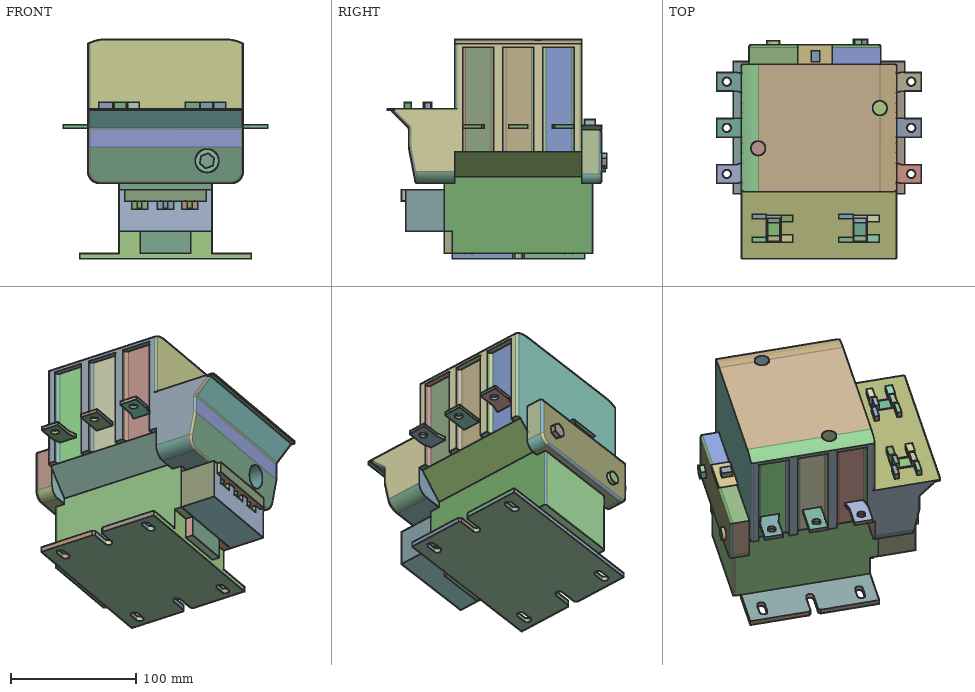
import cadquery as cq
import math


overall_width = 163.3

plate_half_width = 68.5
plate_rear = 70.0
plate_front = -35.7
plate_top = 4.4
plate_middle = (plate_rear + plate_front) / 2
slot_width = 6.3
slot_length = 14.0
slot_x = 56.0
slot_pitch = 80.2
open_slot_inner_x = 51.8
open_slot_chamfer = 1.5

coil_half_width = 37.1
coil_rear = 76.5
coil_front = -42.2
coil_step_height = 21.9
coil_foot_half_width = 20.1
coil_edge_radius = 1.4

housing_half_width = 62.0
housing_rear = 67.7
housing_front = -33.8
housing_top = 175.0
crown_half_width = 48.5
shoulder_height = 171.5
slant_bottom = 65.5
slant_top = 85.2
edge_radius = 1.8

well_diameter = 11.5
well_depth = 17.5
well_places = [(-crown_half_width, 0.7), (crown_half_width, 32.7)]

panel_width = 24.8
panel_depth = 4.2
panel_fillet = 2.3
panel_pitch = 32.0
panel_top = 168.5
panel_middle = 17.0
panel_floor_x = housing_half_width - panel_depth

blade_width = 15.0
blade_pitch = 36.8
blade_bottom = 104.1
blade_thickness = 3.0
blade_hole_diameter = 6.5
blade_hole_x = 73.5
blade_bend_x = 65.5
blade_root_shift = 2.3

shelf_top = 119.7
shelf_thickness = 1.4
shelf_front = -87.5
apron_face_y = -70.5
apron_face_top = 104.5
apron_knee_radius = 2.1
apron_face_bottom = 89.2
apron_bottom = 60.2
apron_bottom_y = -65.0
apron_corner_radius = 9.6

cover_left = -55.8
cover_right = 49.4
cover_rear = 83.3
cover_top = 102.9
cover_corner_radius = 7.9
cover_edge_radius = 2.1
tab_left = -16.8
tab_right = 10.5
tab_height = 3.5
knob_left = -6.1
knob_right = 0.5
knob_front = 69.6
knob_rear = 78.4
knob_top = 111.3

shaft_x = 33.0
shaft_z = 78.2
shaft_radius = 6.1
shaft_turn = 20.0
shaft_sides = 6
shaft_front = -50.8
shaft_rear = 87.5
shaft_well_diameter = 18.7
shaft_well_floor = -49.0
stud_x = -36.5
stud_z = 74.5
stud_diameter = 10.3
stud_rear = 86.5

block_front = -72.8
block_top = 55.3
ledge_half_width = 32.4
ledge_front = -76.3
ledge_bottom = 46.0
window_width = 12.8
window_bottom = 39.7
window_back = -64.5
screw_hole_diameter = 7.4
screw_hole_y = -67.7
screw_hole_bottom = 40.2
screw_hole_places = [-20.6, 0.0, 19.2]

contact_width = 9.8
contact_rear = -55.0
contact_front = -73.5
contact_rear_tab = 3.7
contact_front_tab = 4.5
pocket_rear = -52.7
pocket_front = -74.0
pocket_depth = 3.5
lug_top = 124.8
lug_reach_left = 17.0
lug_reach_right = 15.2
left_rear_lug = (-55.6, -52.0)
right_rear_lug = (-57.8, pocket_rear)
left_front_lug = (pocket_front, -70.4)
right_front_lug = (pocket_front, -68.2)
contact_places = [(-36.0, 1.2), (32.7, 0.7)]


def box(x0, x1, y0, y1, z0, z1):
    """Solid block between two opposite corners."""
    return cq.Workplane("XY").box(x1 - x0, y1 - y0, z1 - z0, centered=False).translate((x0, y0, z0))


def wide_box(half_width, y0, y1, z0, z1):
    """Block symmetric about X = 0."""
    return box(-half_width, half_width, y0, y1, z0, z1)


def along_y(profile, front, rear):
    """Extrude a profile drawn on the XZ plane from front to rear."""
    return profile.extrude(front - rear).translate((0, front, 0))


def cylinder_z(x, y, diameter, z0, z1):
    """Vertical cylinder."""
    return cq.Workplane("XY", origin=(x, y, z0)).circle(diameter / 2).extrude(z1 - z0)


def both_sides(left):
    """A left-hand feature together with its mirror image."""
    return left.union(left.mirror("YZ"))


def make_plate():
    plate = wide_box(plate_half_width, plate_front, plate_rear, 0, plate_top)
    closed_slots = (
        cq.Workplane("XY")
        .rarray(2 * slot_x, slot_pitch, 2, 2)
        .slot2D(slot_length, slot_width)
        .extrude(plate_top)
        .translate((0, plate_middle, 0))
    )
    half_slot = slot_width / 2
    mouth = half_slot + open_slot_chamfer
    chamfer_x = -plate_half_width + open_slot_chamfer
    open_slot = (
        cq.Workplane("XY")
        .moveTo(-plate_half_width, -mouth)
        .lineTo(chamfer_x, -half_slot)
        .lineTo(-open_slot_inner_x, -half_slot)
        .threePointArc((-open_slot_inner_x + half_slot, 0), (-open_slot_inner_x, half_slot))
        .lineTo(chamfer_x, half_slot)
        .lineTo(-plate_half_width, mouth)
        .close()
        .extrude(plate_top)
        .translate((0, plate_middle, 0))
    )
    return plate.cut(closed_slots).cut(both_sides(open_slot))


def make_coil_box():
    coil = wide_box(coil_half_width, coil_front, coil_rear, plate_top, slant_bottom)
    coil = coil.edges("|Z and >Y").fillet(coil_edge_radius)
    step = wide_box(coil_half_width, coil_front, plate_front, plate_top, coil_step_height)
    foot = wide_box(coil_foot_half_width, coil_front, plate_front, plate_top, coil_step_height)
    return coil.cut(step).union(foot)


def make_housing():
    shoulder_run = housing_half_width - crown_half_width
    shoulder_drop = housing_top - shoulder_height
    shoulder_radius = (shoulder_run**2 + shoulder_drop**2) / (2 * shoulder_drop)
    half_angle = math.asin(shoulder_run / shoulder_radius) / 2
    shoulder_x = crown_half_width + shoulder_radius * math.sin(half_angle)
    shoulder_z = housing_top - shoulder_radius * (1 - math.cos(half_angle))
    profile = (
        cq.Workplane("XZ")
        .moveTo(-coil_half_width, slant_bottom)
        .lineTo(coil_half_width, slant_bottom)
        .lineTo(panel_floor_x, slant_top)
        .lineTo(housing_half_width, slant_top)
        .lineTo(housing_half_width, shoulder_height)
        .threePointArc((shoulder_x, shoulder_z), (crown_half_width, housing_top))
        .lineTo(-crown_half_width, housing_top)
        .threePointArc((-shoulder_x, shoulder_z), (-housing_half_width, shoulder_height))
        .lineTo(-housing_half_width, slant_top)
        .lineTo(-panel_floor_x, slant_top)
        .close()
    )
    housing = along_y(profile, housing_front, housing_rear).edges("|Z").fillet(edge_radius)
    for x, y in well_places:
        housing = housing.cut(cylinder_z(x, y, well_diameter, housing_top - well_depth, housing_top))
    return housing


def make_panel_recess(y):
    """Left-hand recess with rounded inner corners, open at its lower end."""
    half_width = panel_width / 2
    recess = box(-housing_half_width, -panel_floor_x, y - half_width, y + half_width, slant_top, panel_top)
    return recess.edges("|Z and >X").fillet(panel_fillet)


def make_blade(row):
    """Left-hand blade; the outer rows bend toward the middle row at their roots."""
    y = panel_middle + row * blade_pitch
    half_width = blade_width / 2
    tip_x = -overall_width / 2
    root_y = -row * blade_root_shift
    blade = (
        cq.Workplane("XY", origin=(0, y, blade_bottom))
        .moveTo(tip_x, -half_width)
        .lineTo(-blade_bend_x, -half_width)
        .lineTo(-panel_floor_x, root_y - half_width)
        .lineTo(-panel_floor_x, root_y + half_width)
        .lineTo(-blade_bend_x, half_width)
        .lineTo(tip_x, half_width)
        .close()
        .extrude(blade_thickness)
    )
    blade_top = blade_bottom + blade_thickness
    return blade.cut(cylinder_z(-blade_hole_x, y, blade_hole_diameter, blade_bottom, blade_top))


def make_apron():
    shelf_bottom = shelf_top - shelf_thickness
    lip_y = apron_face_y - (shelf_bottom - apron_face_top)
    apron = (
        cq.Workplane("YZ")
        .moveTo(housing_front, apron_bottom)
        .lineTo(apron_bottom_y, apron_bottom)
        .lineTo(apron_face_y, apron_face_bottom)
        .lineTo(apron_face_y, apron_face_top)
        .lineTo(lip_y, shelf_bottom)
        .lineTo(housing_front, shelf_bottom)
        .close()
        .extrude(housing_half_width, both=True)
    )
    apron = apron.edges("|Y and <Z").fillet(apron_corner_radius)
    knee = cq.selectors.NearestToPointSelector((0, apron_face_y, apron_face_top))
    apron = apron.edges(knee).fillet(apron_knee_radius)
    selection_margin = 1.8
    side_edges = cq.selectors.BoxSelector(
        (-housing_half_width - selection_margin, shelf_front, apron_bottom + apron_corner_radius),
        (housing_half_width + selection_margin, apron_bottom_y, shelf_bottom - edge_radius),
    )
    apron = apron.edges(side_edges).edges("not(|X)").fillet(edge_radius)
    shelf = wide_box(housing_half_width, shelf_front, housing_front, shelf_bottom, shelf_top)
    shelf = shelf.edges("|Z and <Y").fillet(edge_radius)
    infill = wide_box(housing_half_width, housing_front, housing_front + edge_radius, slant_top, shelf_top)
    return apron.union(shelf).union(infill)


def make_cover():
    cover = box(cover_left, cover_right, housing_rear, cover_rear, apron_bottom, cover_top)
    cover = cover.edges("|Y and <Z").fillet(cover_corner_radius)
    cover = cover.faces(">Y").edges().fillet(cover_edge_radius)
    tab_profile = cq.Workplane("XZ").polyline([
        (tab_left + tab_height, cover_top),
        (tab_right - tab_height, cover_top),
        (tab_right, cover_top + tab_height),
        (tab_left, cover_top + tab_height),
    ]).close()
    tab = along_y(tab_profile, housing_rear, cover_rear)
    knob = box(knob_left, knob_right, knob_front, knob_rear, cover_top, knob_top)
    return cover.union(tab).union(knob)


def make_shaft():
    corners = []
    for corner in range(shaft_sides):
        angle = math.radians(shaft_turn + corner * 360 / shaft_sides)
        x = shaft_x + shaft_radius * math.cos(angle)
        z = shaft_z + shaft_radius * math.sin(angle)
        corners.append((x, z))
    return along_y(cq.Workplane("XZ").polyline(corners).close(), shaft_front, shaft_rear)


def make_lugs(x, gap):
    """Four lugs beside a contact, two on either side of its pocket."""
    pocket_half = contact_width / 2 + gap
    lugs = cq.Workplane("XY")
    for front, rear in (left_rear_lug, left_front_lug):
        lugs = lugs.union(box(x - lug_reach_left, x - pocket_half, front, rear, shelf_top, lug_top))
    for front, rear in (right_rear_lug, right_front_lug):
        lugs = lugs.union(box(x + pocket_half, x + lug_reach_right, front, rear, shelf_top, lug_top))
    return lugs


def make_body():
    body = make_housing()
    rows = (-1, 0, 1)
    for row in rows:
        body = body.cut(both_sides(make_panel_recess(panel_middle + row * panel_pitch)))
    for row in rows:
        body = body.union(both_sides(make_blade(row)))
    body = body.union(make_apron()).union(make_coil_box()).union(make_plate()).union(make_cover())

    well_circle = cq.Workplane("XZ").center(shaft_x, shaft_z).circle(shaft_well_diameter / 2)
    body = body.cut(along_y(well_circle, shelf_front, shaft_well_floor)).union(make_shaft())
    stud_circle = cq.Workplane("XZ").center(stud_x, stud_z).circle(stud_diameter / 2)
    body = body.union(along_y(stud_circle, housing_rear, stud_rear))

    for x, gap in contact_places:
        pocket_half = contact_width / 2 + gap
        pocket = box(x - pocket_half, x + pocket_half, pocket_front, pocket_rear,
                     shelf_top - pocket_depth, shelf_top)
        body = body.cut(pocket).union(make_lugs(x, gap))
    return body


def make_terminal_block():
    block = wide_box(coil_half_width, block_front, coil_front, coil_step_height, block_top)
    block = block.union(wide_box(ledge_half_width, ledge_front, block_front, ledge_bottom, block_top))
    for x in screw_hole_places:
        block = block.cut(cylinder_z(x, screw_hole_y, screw_hole_diameter, screw_hole_bottom, block_top))
        block = block.cut(box(x - window_width / 2, x + window_width / 2, block_front, window_back,
                              window_bottom, ledge_bottom))
    return block


def make_contact(x):
    """U-shaped contact: a strip flush with the shelf, turned up at both ends."""
    left = x - contact_width / 2
    right = x + contact_width / 2
    contact = box(left, right, contact_front, contact_rear, shelf_top - pocket_depth, lug_top)
    notch = box(left, right, contact_front + contact_front_tab, contact_rear - contact_rear_tab,
                shelf_top, lug_top)
    return contact.cut(notch)


body = make_body()
terminal_block = make_terminal_block()
contacts = [make_contact(x).val() for x, gap in contact_places]

result = cq.Compound.makeCompound([body.solids().val(), terminal_block.solids().val(), *contacts])